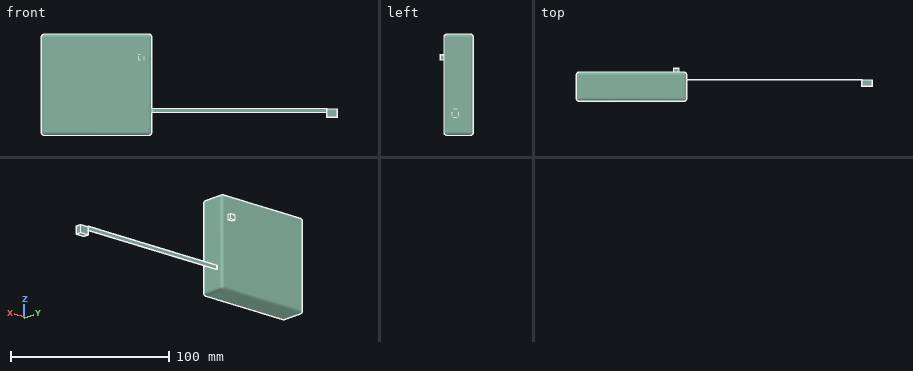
import cadquery as cq

case_length = 69.9
case_depth = 18.7
case_height = 64.1
case_radius = 2.0

button_side = 3.5
button_projection = 2.5
button_center_x = 63.2
button_center_z = 49.3

overall_length = 186.9
plug_length = 6.7
plug_depth = 4.1
plug_height = 5.5
plug_front_y = 9.5
plug_bottom_z = 11.4
plug_start_x = overall_length - plug_length

cable_thickness = 0.5
cable_height = 2.8
cable_front_y = 13.5
cable_bottom_z = 14.4
cable_overlap = 0.2


def block(length, depth, height, x, y, z):
    """Make a box with its lower front left corner at (x, y, z)."""
    return cq.Workplane("XY").box(length, depth, height, centered=False).translate((x, y, z))


case = block(case_length, case_depth, case_height, 0, 0, 0).edges().fillet(case_radius)

button = block(
    button_side,
    button_projection + case_radius,
    button_side,
    button_center_x - button_side / 2,
    case_depth - case_radius,
    button_center_z - button_side / 2,
)

cable_start_x = case_length - cable_overlap
cable_length = plug_start_x + cable_overlap - cable_start_x
cable = block(
    cable_length, cable_thickness, cable_height,
    cable_start_x, cable_front_y, cable_bottom_z,
)

plug = block(
    plug_length, plug_depth, plug_height,
    plug_start_x, plug_front_y, plug_bottom_z,
)

result = case.union(button).union(cable).union(plug)